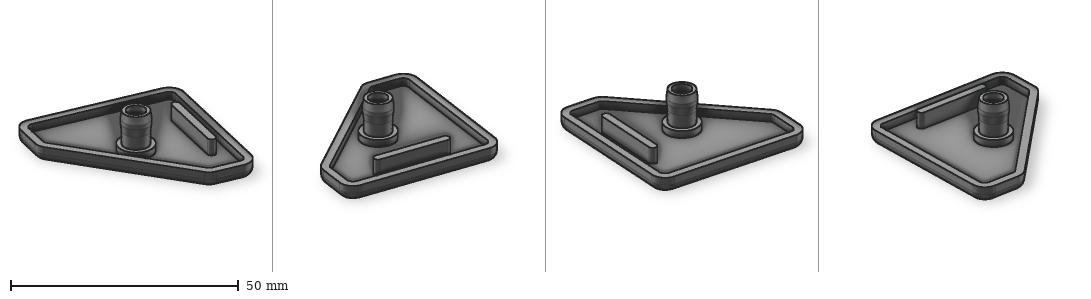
import cadquery as cq
import math

side = 40.0
tray_height = 4.0
cut_start = 11.8
corner_radius = 3.5
bottom_radius = 2.2

wall = 2.0
pocket_depth = 2.0
pocket_radius = 1.5
floor_z = tray_height - pocket_depth

bar_length = 19.45
bar_width = 2.05
bar_y = 34.2
bar_top = 6.0

post_x = side / 2
post_y = side / 2
post_top = 12.0
post_radius = 3.2
bulge_radius = 3.5
bulge_start = 7.05
bulge_full = 9.0
bulge_end = 10.05
collar_radius = 4.35
collar_height = 1.8
bore_radius = 2.3
bore_bottom_radius = 2.0
bore_bottom = floor_z


def cut_square(inset, base_z, height):
    """Block with the tray outline moved inward by the inset on all five sides."""
    low = inset
    high = side - inset
    offset = cut_start - inset * math.sqrt(2)
    points = [
        (low, low),
        (low + offset, low),
        (high, high - offset),
        (high, high),
        (low, high),
    ]
    return cq.Workplane("XY").workplane(offset=base_z).polyline(points).close().extrude(height)


def make_tray():
    body = cut_square(0, 0, tray_height).edges("|Z").fillet(corner_radius)
    body = body.faces("<Z").edges().fillet(bottom_radius)
    pocket = cut_square(wall, floor_z, pocket_depth)
    return body.cut(pocket.edges("|Z").fillet(pocket_radius))


def make_bar():
    return (
        cq.Workplane("XY", origin=(side / 2, bar_y, floor_z))
        .slot2D(bar_length, bar_width)
        .extrude(bar_top - floor_z)
    )


def make_post():
    return (
        cq.Workplane("XZ")
        .moveTo(0, floor_z)
        .lineTo(collar_radius, floor_z)
        .lineTo(collar_radius, floor_z + collar_height)
        .lineTo(post_radius, floor_z + collar_height)
        .lineTo(post_radius, bulge_start)
        .lineTo(bulge_radius, bulge_full)
        .lineTo(bulge_radius, bulge_end)
        .lineTo(post_radius, post_top)
        .lineTo(0, post_top)
        .close()
        .revolve(360, (0, 0), (0, 1))
        .translate((post_x, post_y, 0))
    )


def make_bore():
    bore = (
        cq.Workplane("XY", origin=(post_x, post_y, bore_bottom))
        .circle(bore_radius)
        .extrude(post_top - bore_bottom)
    )
    return bore.faces("<Z").edges().fillet(bore_bottom_radius)


result = make_tray().union(make_bar()).union(make_post()).cut(make_bore())